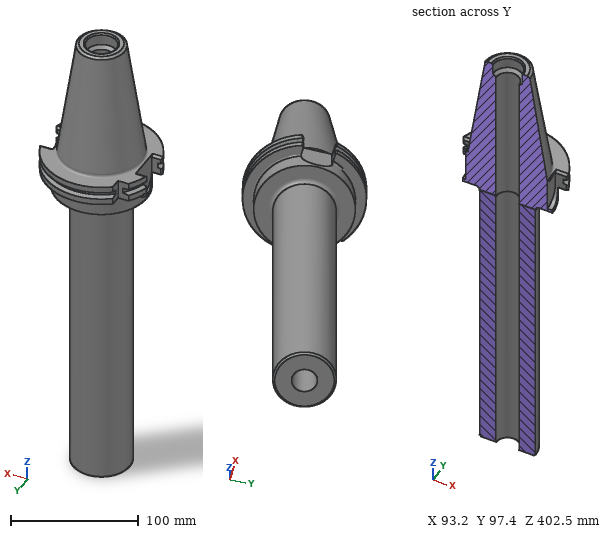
import cadquery as cq
import math

TOTAL_HEIGHT = 402.5
FLANGE_TOP = 298.5
FLANGE_THICKNESS = 16.5
FLANGE_BOTTOM = FLANGE_TOP - FLANGE_THICKNESS
COLLAR_BOTTOM = 265.7

BAR_RADIUS = 25.0
BAR_END_CHAMFER = 1.5

NECK_FILLET = 3.2
BAR_TOP = COLLAR_BOTTOM - NECK_FILLET

TAPER_TOP_RADIUS = 20.0
TAPER_BASE_RADIUS = 35.0
TAPER_END_CHAMFER_WIDTH = 2.5
TAPER_END_CHAMFER_HEIGHT = 1.5
TAPER_STANDOFF = 3.2
TAPER_BASE = FLANGE_TOP + TAPER_STANDOFF
BASE_FILLET = 2.0

FLANGE_RADIUS = 48.7
COLLAR_RADIUS = 40.0
GROOVE_DEPTH = 4.0
GROOVE_FLOOR_WIDTH = 3.5
GROOVE_MOUTH_WIDTH = 6.0
GROOVE_MIDDLE = FLANGE_TOP - FLANGE_THICKNESS / 2
COLLAR_FILLET = 1.2

SLOT_HALF_WIDTH = 13.0
SLOT_CHAMFER = 2.0
SLOT_BEVEL = 1.2
SLOT_FLOORS = {-1: 37.5, 1: 35.5}
CUT_REACH = 2 * FLANGE_RADIUS

NOTCH_X = -29.5
NOTCH_Y = 29.8

BORE_RADIUS = 10.0
MOUTH_RADIUS = 13.0
MOUTH_DEPTH = 10.5
MOUTH_CHAMFER = 1.2


def holder_blank():
    """Taper, grooved flange and collar turned about the Z axis."""
    groove_radius = FLANGE_RADIUS - GROOVE_DEPTH
    floor_half = GROOVE_FLOOR_WIDTH / 2
    mouth_half = GROOVE_MOUTH_WIDTH / 2
    profile = (
        cq.Workplane("XZ")
        .moveTo(0, BAR_TOP)
        .lineTo(BAR_RADIUS, BAR_TOP)
        .radiusArc((BAR_RADIUS + NECK_FILLET, COLLAR_BOTTOM), NECK_FILLET)
        .lineTo(COLLAR_RADIUS, COLLAR_BOTTOM)
        .lineTo(COLLAR_RADIUS, FLANGE_BOTTOM - COLLAR_FILLET)
        .radiusArc((COLLAR_RADIUS + COLLAR_FILLET, FLANGE_BOTTOM), COLLAR_FILLET)
        .lineTo(FLANGE_RADIUS, FLANGE_BOTTOM)
        .lineTo(FLANGE_RADIUS, GROOVE_MIDDLE - mouth_half)
        .lineTo(groove_radius, GROOVE_MIDDLE - floor_half)
        .lineTo(groove_radius, GROOVE_MIDDLE + floor_half)
        .lineTo(FLANGE_RADIUS, GROOVE_MIDDLE + mouth_half)
        .lineTo(FLANGE_RADIUS, FLANGE_TOP)
        .lineTo(TAPER_BASE_RADIUS + BASE_FILLET, FLANGE_TOP)
        .radiusArc((TAPER_BASE_RADIUS, FLANGE_TOP + BASE_FILLET), BASE_FILLET)
        .lineTo(TAPER_BASE_RADIUS, TAPER_BASE)
        .lineTo(TAPER_TOP_RADIUS, TOTAL_HEIGHT - TAPER_END_CHAMFER_HEIGHT)
        .lineTo(TAPER_TOP_RADIUS - TAPER_END_CHAMFER_WIDTH, TOTAL_HEIGHT)
        .lineTo(0, TOTAL_HEIGHT)
        .close()
    )
    return profile.revolve(360, (0, 0, 0), (0, 1, 0))


def holder_bore():
    """Stepped hole with a chamfered mouth and a 45 degree step."""
    step = TOTAL_HEIGHT - MOUTH_DEPTH
    profile = (
        cq.Workplane("XZ")
        .moveTo(0, BAR_TOP)
        .lineTo(BORE_RADIUS, BAR_TOP)
        .lineTo(BORE_RADIUS, step - (MOUTH_RADIUS - BORE_RADIUS))
        .lineTo(MOUTH_RADIUS, step)
        .lineTo(MOUTH_RADIUS, TOTAL_HEIGHT - MOUTH_CHAMFER)
        .lineTo(MOUTH_RADIUS + MOUTH_CHAMFER, TOTAL_HEIGHT)
        .lineTo(0, TOTAL_HEIGHT)
        .close()
    )
    return profile.revolve(360, (0, 0, 0), (0, 1, 0))


def drive_slot(side):
    """Round-ended slot open at the flange top, with chamfered top edges."""
    floor = SLOT_FLOORS[side]
    outline = (
        cq.Workplane("YZ", origin=(side * floor, 0, 0))
        .moveTo(-SLOT_HALF_WIDTH - SLOT_CHAMFER, FLANGE_TOP)
        .lineTo(-SLOT_HALF_WIDTH, FLANGE_TOP - SLOT_CHAMFER)
        .lineTo(-SLOT_HALF_WIDTH, FLANGE_BOTTOM)
        .threePointArc((0, FLANGE_BOTTOM - SLOT_HALF_WIDTH), (SLOT_HALF_WIDTH, FLANGE_BOTTOM))
        .lineTo(SLOT_HALF_WIDTH, FLANGE_TOP - SLOT_CHAMFER)
        .lineTo(SLOT_HALF_WIDTH + SLOT_CHAMFER, FLANGE_TOP)
        .close()
    )
    return outline.extrude(side * CUT_REACH)


def slot_bevel(side):
    """Wedge that breaks the upright outer edges of a drive slot at 45 degrees."""
    rim_x = math.sqrt(FLANGE_RADIUS**2 - (SLOT_HALF_WIDTH + SLOT_BEVEL) ** 2)
    start = rim_x - SLOT_BEVEL
    reach = FLANGE_RADIUS - start
    wedge = (
        cq.Workplane("XY", origin=(0, 0, FLANGE_BOTTOM))
        .moveTo(side * start, -SLOT_HALF_WIDTH)
        .lineTo(side * start, SLOT_HALF_WIDTH)
        .lineTo(side * FLANGE_RADIUS, SLOT_HALF_WIDTH + reach)
        .lineTo(side * FLANGE_RADIUS, -SLOT_HALF_WIDTH - reach)
        .close()
    )
    return wedge.extrude(FLANGE_THICKNESS)


def orientation_notch():
    """Square-cornered cut through the flange thickness."""
    corner = cq.Workplane("XY", origin=(NOTCH_X - CUT_REACH, NOTCH_Y, FLANGE_BOTTOM))
    return corner.box(CUT_REACH, CUT_REACH, FLANGE_THICKNESS, centered=False)


def make_holder():
    holder = holder_blank().cut(holder_bore()).cut(orientation_notch())
    for side in SLOT_FLOORS:
        holder = holder.cut(drive_slot(side)).cut(slot_bevel(side))
    return holder


def make_bar():
    """Hollow bar that butts against the collar end of the holder."""
    bar = cq.Workplane("XY").circle(BAR_RADIUS).extrude(BAR_TOP)
    bar = bar.faces("<Z").chamfer(BAR_END_CHAMFER)
    return bar.cut(cq.Workplane("XY").circle(BORE_RADIUS).extrude(BAR_TOP))


holder = make_holder()
bar = make_bar()

result = cq.Compound.makeCompound([holder.val(), bar.val()])